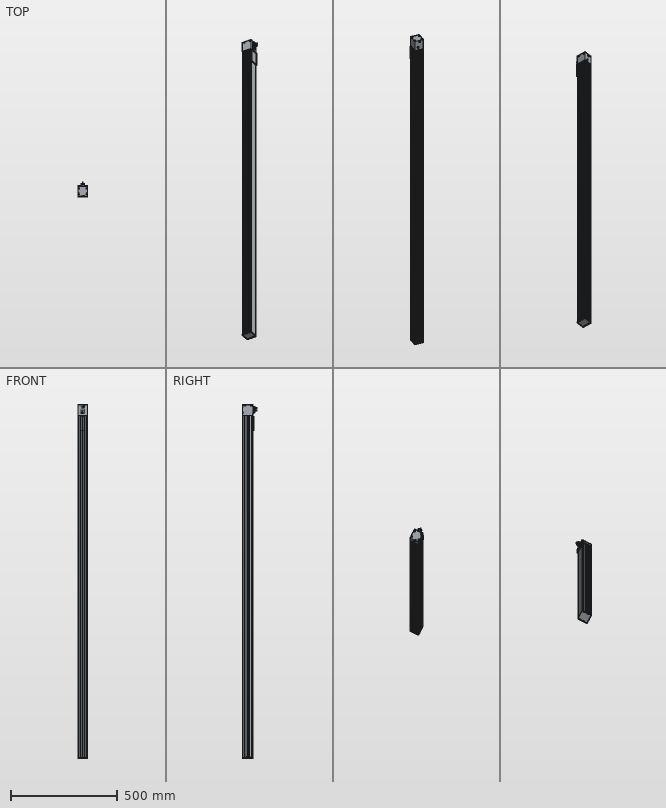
import cadquery as cq

total_height = 1665.0
width = 45.0
depth = 49.3
total_depth = 69.4
head_height = 51.0
head_base = total_height - head_height

cap_height = 4.5
tab_height = 4.0
tab_thickness = 2.0
tab_front = 20.0
tab_back = 36.0

rear_corner_chamfer = 3.0
front_groove_count = 4
front_groove_width = 5.0
front_groove_depth = 1.5
front_groove_pitch = 9.5
side_slot_width = 9.0
side_slot_depth = 4.0
side_slot_centres = (17.0, 37.5)
side_groove_width = 2.5
side_groove_depth = 1.0
side_groove_centre = (side_slot_centres[0] + side_slot_centres[1]) / 2
front_rebate_width = 7.0
front_rebate_depth = 1.0

screw_hole_diameter = 5.5
screw_hole_depth = 5.0
screw_spacing_x = 34.0
screw_spacing_y = 29.0
screw_middle_y = 25.6
port_diameter = 8.3
port_depth = 6.0
port_places = ((4.0, 8.5), (-4.0, 37.5))

plate_thickness = 4.7
plate_height = 65.5
plate_drop = 56.0
plate_top = total_height - plate_drop
plate_bottom = plate_top - plate_height

connector_drop = 9.0
connector_top = total_height - connector_drop
flange_width = 18.0
flange_thickness = 4.9
flange_height = 33.0
housing_width = 17.5
housing_height = 28.0
housing_back = 58.5
plug_diameter = 17.0
plug_drop = 12.3
plug_centre = connector_top - plug_drop
plug_back = 64.0
pin_diameter = 3.0
pin_spacing = 12.3


def block(size_x, y_front, y_back, z_bottom, z_top):
    """Box centred on x = 0."""
    return (
        cq.Workplane("XY")
        .box(size_x, y_back - y_front, z_top - z_bottom, centered=(True, False, False))
        .translate((0, y_front, z_bottom))
    )


def cylinder_along_y(diameter, x, z, y_start, y_end):
    """Cylinder whose axis runs along Y."""
    return cq.Workplane("XZ", origin=(x, y_start, z)).circle(diameter / 2).extrude(y_start - y_end)


def side_pair(y_front, y_back, inward, z_bottom, z_top):
    """Two boxes that lie just inside the left and right faces of the part."""
    outer = block(width, y_front, y_back, z_bottom, z_top)
    return outer.cut(block(width - 2 * inward, y_front, y_back, z_bottom, z_top))


def make_cap():
    cap = block(width, 0, depth, 0, cap_height)
    tabs = side_pair(tab_front, tab_back, tab_thickness, cap_height, cap_height + tab_height)
    return cap.union(tabs)


def make_profile():
    profile = block(width, 0, depth, cap_height, head_base)
    profile = profile.edges("|Z and >Y").chamfer(rear_corner_chamfer)

    first_groove_x = -front_groove_pitch * (front_groove_count - 1) / 2
    for index in range(front_groove_count):
        groove = block(front_groove_width, 0, front_groove_depth, cap_height, head_base)
        profile = profile.cut(groove.translate((first_groove_x + index * front_groove_pitch, 0, 0)))

    side_channels = [(centre, side_slot_width, side_slot_depth) for centre in side_slot_centres]
    side_channels.append((side_groove_centre, side_groove_width, side_groove_depth))
    side_channels.append((front_rebate_width / 2, front_rebate_width, front_rebate_depth))
    for centre, channel_width, channel_depth in side_channels:
        channel_front = centre - channel_width / 2
        channel_back = centre + channel_width / 2
        profile = profile.cut(
            side_pair(channel_front, channel_back, channel_depth, cap_height, head_base)
        )

    notch_top = cap_height + tab_height
    return profile.cut(side_pair(tab_front, tab_back, tab_thickness, cap_height, notch_top))


def make_head():
    head = block(width, 0, depth, head_base, total_height)
    screw_holes = (
        cq.Workplane("XY", origin=(0, screw_middle_y, total_height))
        .rarray(screw_spacing_x, screw_spacing_y, 2, 2)
        .circle(screw_hole_diameter / 2)
        .extrude(-screw_hole_depth)
    )
    head = head.cut(screw_holes)
    for port_x, drop in port_places:
        head = head.cut(cylinder_along_y(port_diameter, port_x, total_height - drop, 0, port_depth))
    return head


def make_plate():
    return block(width, depth, depth + plate_thickness, plate_bottom, plate_top)


def make_connector():
    flange_back = depth + flange_thickness
    flange = block(flange_width, depth, flange_back, connector_top - flange_height, connector_top)
    housing_bottom = connector_top - housing_height
    housing = block(housing_width, flange_back, housing_back, housing_bottom, connector_top)
    plug = cylinder_along_y(plug_diameter, 0, plug_centre, housing_back, plug_back)
    connector = flange.union(housing).union(plug)
    for side in (-1, 1):
        pin_z = plug_centre + side * pin_spacing / 2
        connector = connector.union(cylinder_along_y(pin_diameter, 0, pin_z, plug_back, total_depth))
    return connector


cap = make_cap()
profile = make_profile()
head = make_head()
plate = make_plate()
connector = make_connector()

result = cq.Compound.makeCompound(
    [cap.val(), profile.val(), head.val(), plate.val(), connector.val()]
)